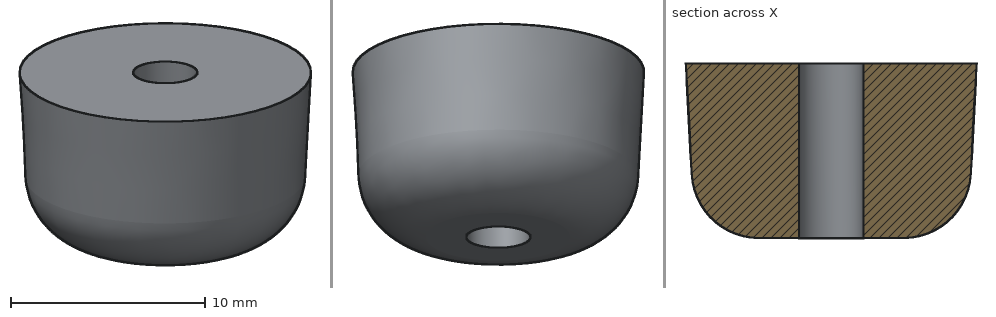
import cadquery as cq
import math

top_diameter = 15.0
height = 9.0
draft_angle = 3.0
base_round_radius = 3.5
hole_diameter = 3.3

top_radius = top_diameter / 2
base_radius = top_radius - height * math.tan(math.radians(draft_angle))


def tapered_body():
    """Solid of revolution about Z, wide at the top, with its profile on the -X side."""
    profile = (
        cq.Workplane("XZ")
        .moveTo(0, 0)
        .lineTo(-base_radius, 0)
        .lineTo(-top_radius, height)
        .lineTo(0, height)
        .close()
    )
    return profile.revolve(360, (0, 0, 0), (0, 1, 0))


def through_hole():
    """Cylinder along the axis, over the full height."""
    return cq.Workplane("XY").circle(hole_diameter / 2).extrude(height)


body = tapered_body().faces("<Z").edges().fillet(base_round_radius)
result = body.cut(through_hole())